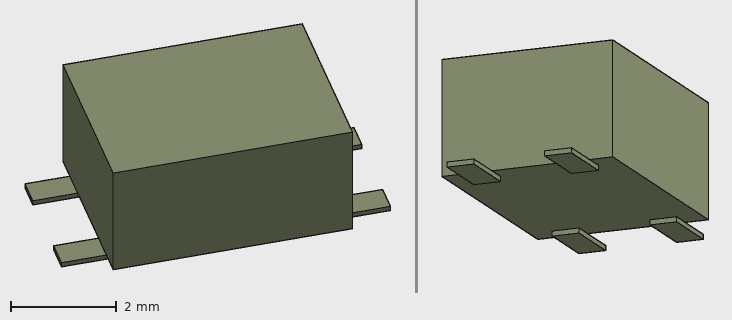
import cadquery as cq

housing_width = 3.5
housing_length = 4.7
housing_height = 2.3

lead_width = 0.55
lead_length = 1.31
lead_thickness = 0.1
lead_pitch = 2.0
lead_tip_span = 6.46


def make_housing():
    """Plain block resting on top of the leads."""
    return (
        cq.Workplane("XY")
        .workplane(offset=lead_thickness)
        .box(housing_width, housing_length, housing_height, centered=(True, True, False))
    )


def make_lead(x_center, y_side):
    """Flat strip reaching from beneath the housing out past its end face on the given Y side."""
    y_center = y_side * (lead_tip_span - lead_length) / 2
    return (
        cq.Workplane("XY")
        .center(x_center, y_center)
        .box(lead_width, lead_length, lead_thickness, centered=(True, True, False))
    )


housing = make_housing()

leads = []
for x_side in (-1, 1):
    for y_side in (-1, 1):
        leads.append(make_lead(x_side * lead_pitch / 2, y_side))

result = cq.Compound.makeCompound([housing.val(), *[lead.val() for lead in leads]])